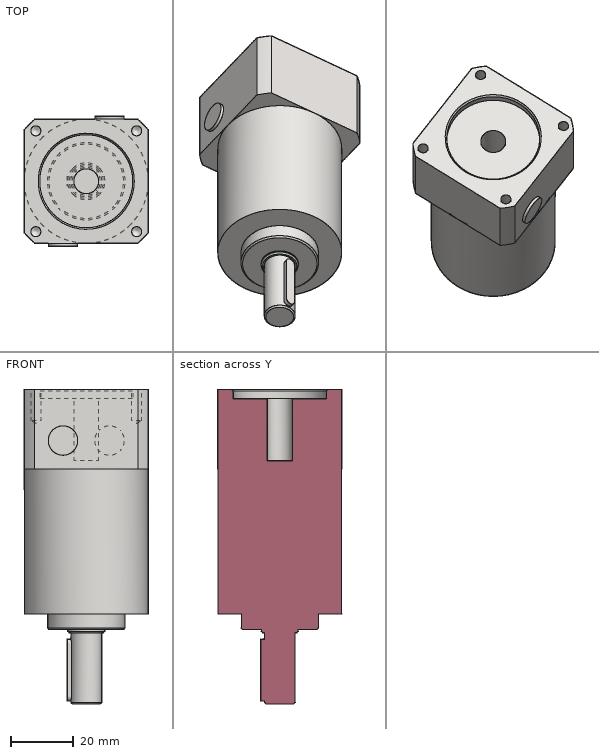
import cadquery as cq
import math

flange_side = 40.0
flange_height = 25.75
flange_corner_diameter = 52.0

body_diameter = 40.0
body_height = 46.75
top_z = body_height + flange_height

seat_diameter = 30.0
seat_depth = 3.0
seat_chamfer = 0.5
bore_diameter = 8.0
bore_depth = 20.0

mount_hole_diameter = 3.24
mount_hole_depth = 10.0
mount_circle_diameter = 46.0
mount_hole_count = 4
mount_start_angle = 45.0
drill_point_angle = 118.0
drill_tip_height = mount_hole_diameter / 2 / math.tan(math.radians(drill_point_angle / 2))

plug_diameter = 9.5
plug_height = 1.0
plug_offset = 7.5
plug_drop = 16.5

pilot_diameter = 25.0
pilot_length = 5.0
pilot_chamfer = 0.5
collar_diameter = 12.0
collar_end = 6.0
collar_chamfer = 0.5
shaft_diameter = 10.0
shaft_end = 29.0
shaft_chamfer = 0.5

key_width = 3.0
key_length = 20.0
key_start = 8.0
key_reach = 6.2
key_height = 3.0


def make_flange():
    """Square block whose corners are rounded about the main axis."""
    base = cq.Workplane("XY").workplane(offset=body_height)
    block = base.rect(flange_side, flange_side).extrude(flange_height)
    trim = base.circle(flange_corner_diameter / 2).extrude(flange_height)
    return block.intersect(trim)


def make_rod(diameter, end):
    """Cylinder on the axis, from the bottom of the body down to the given distance."""
    return cq.Workplane("XY").circle(diameter / 2).extrude(-end)


def make_output():
    """Pilot ring, collar and shaft, each chamfered at its lower end."""
    pilot = make_rod(pilot_diameter, pilot_length).faces("<Z").chamfer(pilot_chamfer)
    collar = make_rod(collar_diameter, collar_end).faces("<Z").chamfer(collar_chamfer)
    shaft = make_rod(shaft_diameter, shaft_end).faces("<Z").chamfer(shaft_chamfer)
    return pilot.union(collar).union(shaft)


def make_key():
    """Upright key sunk into the shaft."""
    return (
        cq.Workplane("YZ", origin=(-key_reach, 0, -key_start - key_length / 2))
        .slot2D(key_length, key_width, 90)
        .extrude(key_height)
    )


def make_plug(side):
    """Plug on the -Y face (side = -1) or on the +Y face (side = 1)."""
    centre = (side * plug_offset, 0, top_z - plug_drop)
    reach = flange_side / 2 + plug_height
    return cq.Workplane("XZ", origin=centre).circle(plug_diameter / 2).extrude(-side * reach)


def make_seat():
    """Stepped cutter for the seat, its chamfered rim and the bore."""
    seat_radius = seat_diameter / 2
    bore_radius = bore_diameter / 2
    floor_z = top_z - seat_depth
    return (
        cq.Workplane("XZ")
        .moveTo(0, top_z)
        .lineTo(seat_radius + seat_chamfer, top_z)
        .lineTo(seat_radius, top_z - seat_chamfer)
        .lineTo(seat_radius, floor_z)
        .lineTo(bore_radius, floor_z)
        .lineTo(bore_radius, floor_z - bore_depth)
        .lineTo(0, floor_z - bore_depth)
        .close()
        .revolve()
    )


def make_mount_holes():
    """Drill-shaped cutters on the mounting circle, on the flange diagonals."""
    hole_radius = mount_hole_diameter / 2
    drill = (
        cq.Workplane("XZ")
        .lineTo(hole_radius, 0)
        .lineTo(hole_radius, -mount_hole_depth)
        .lineTo(0, -mount_hole_depth - drill_tip_height)
        .close()
        .revolve()
    )
    return (
        cq.Workplane("XY")
        .workplane(offset=top_z)
        .polarArray(mount_circle_diameter / 2, mount_start_angle, 360, mount_hole_count)
        .eachpoint(lambda place: drill.val().moved(place), combine=False)
    )


body = cq.Workplane("XY").circle(body_diameter / 2).extrude(body_height)
housing = body.union(make_flange())
for side in (-1, 1):
    housing = housing.union(make_plug(side))
housing = housing.cut(make_seat()).cut(make_mount_holes())
result = housing.union(make_output()).union(make_key())